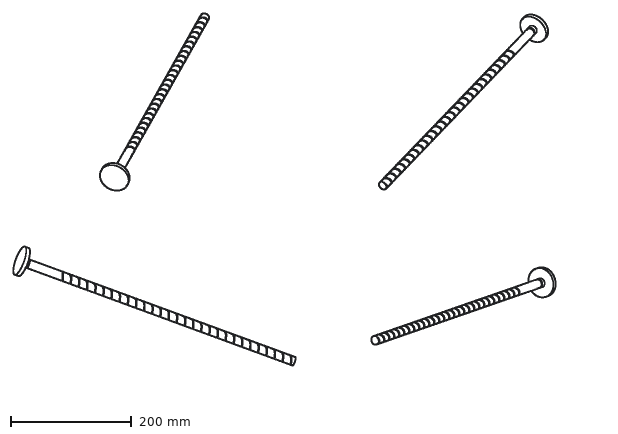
import cadquery as cq

total_length = 505.0
head_diameter = 50.0
head_thickness = 7.0
rod_diameter = 15.0
rod_radius = rod_diameter / 2

ring_position = 14.5
ring_width = 1.5

groove_width = 1.5
groove_depth = 0.5
helix_start = 75.0
helix_turns = 28.6
helix_pitch = (total_length - helix_start) / helix_turns
cut_overlap = 0.5


def make_rod_and_head():
    head = cq.Workplane("XY").circle(head_diameter / 2).extrude(head_thickness)
    return head.faces(">Z").workplane().circle(rod_radius).extrude(total_length - head_thickness)


def make_ring_cutter():
    return (
        cq.Workplane("XY")
        .workplane(offset=ring_position - ring_width / 2)
        .circle(rod_radius + cut_overlap)
        .circle(rod_radius - groove_depth)
        .extrude(ring_width)
    )


def make_helix_cutter():
    """Rectangular thread-like cutter that runs out through the free end."""
    helix_length = total_length - helix_start + groove_width
    path = cq.Wire.makeHelix(helix_pitch, helix_length, rod_radius)
    radial_size = groove_depth + cut_overlap
    profile = (
        cq.Workplane("XZ")
        .center(rod_radius + (cut_overlap - groove_depth) / 2, 0)
        .rect(radial_size, groove_width)
    )
    cutter = profile.sweep(cq.Workplane(obj=path), isFrenet=True)
    return cutter.translate((0, 0, helix_start))


upright = make_rod_and_head().cut(make_ring_cutter()).cut(make_helix_cutter())

result = upright.rotate((0, 0, 0), (1, 0, 0), -90).translate((0, -total_length / 2, 0))